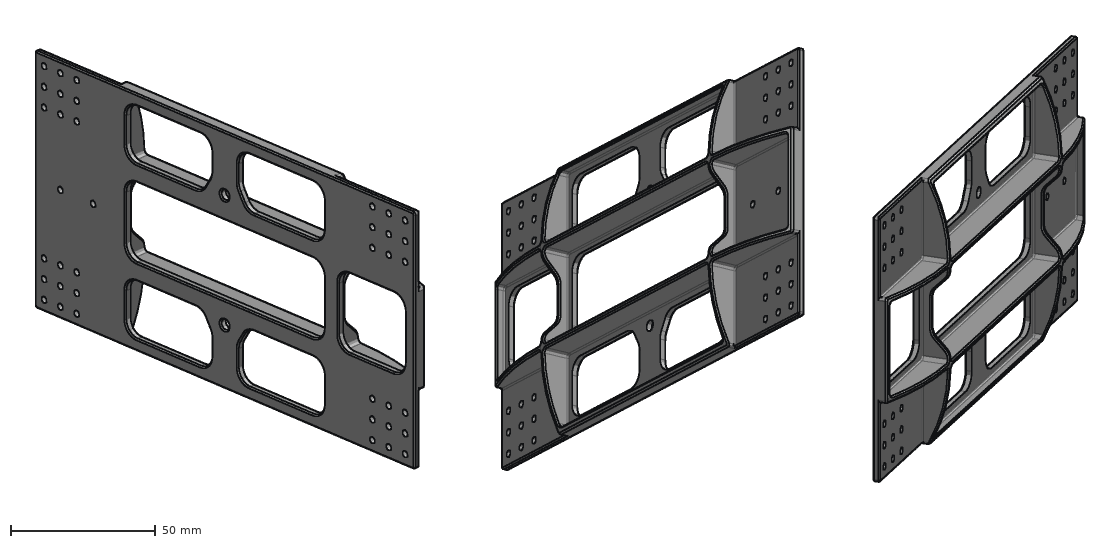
import cadquery as cq
import math

LENGTH = 185.0
DEPTH = 12.8
WIDTH = 99.0
HALF_LENGTH = LENGTH / 2
HALF_WIDTH = WIDTH / 2

PLATE_THICKNESS = 2.5
EDGE_CHAMFER = 0.5
WALL = 2.0
RIB_X = 52.0
RIB_Z = 18.7
RIB_CORNER_RADIUS = 1.5
FOOT_RADIUS = 0.5
END_RADIUS = 1.1
RIM_HEIGHT = 5.2
CROSS_X = RIB_X + WALL / 2
CROSS_Z = RIB_Z + WALL / 2

CHANNEL_HALF_TOP = 14.5
CHANNEL_HEIGHT = 6.1
CHANNEL_RADIUS = 5.0

WINDOW_RADIUS = 5.5
WINDOW_OUTER_X = 48.3
SMALL_WINDOW_INNER_X = 6.5
SMALL_WINDOW_Z = (22.5, 44.8)
SMALL_WINDOW_CUT = (4.6, 7.8)
CENTRE_WINDOW_HALF_Z = 15.4
END_WINDOW_X = (55.3, 87.7)

SMALL_HOLE = 2.4
HOLE_PITCH = 8.0
HOLE_GRID_X = 80.0
HOLE_GRID_Z = 37.0
AXIS_HOLES_X = (-HOLE_GRID_X, -HOLE_GRID_X + 2 * HOLE_PITCH)
LARGE_HOLE = 3.9
LARGE_HOLE_Z = 25.0


def block(x_range, z_range, height, bottom=0.0):
    """Box over the given X and Z ranges, from `bottom` to `height` along +Y."""
    (x0, x1), (z0, z1) = x_range, z_range
    size = (x1 - x0, height - bottom, z1 - z0)
    return cq.Workplane("XY").box(*size, centered=False).translate((x0, bottom, z0))


def arm(half_x, half_z):
    """Upright block of one arm of the cross, standing inside the plate."""
    return block((-half_x, half_x), (-half_z, half_z), DEPTH, EDGE_CHAMFER).edges("|Y").fillet(END_RADIUS)


def cross():
    """Cross of two full-length arms with filleted inner corners."""
    inner_corners = cq.selectors.BoxSelector(
        (-CROSS_X - 1.8, 0, -CROSS_Z - 1.8), (CROSS_X + 1.8, DEPTH, CROSS_Z + 1.8)
    )
    arms = arm(HALF_LENGTH, CROSS_Z).union(arm(CROSS_X, HALF_WIDTH))
    return arms.edges("|Y").edges(inner_corners).fillet(RIB_CORNER_RADIUS)


def recess(x_range, z_range):
    """Space above the plate with filleted upright corners and a filleted foot."""
    space = block(x_range, z_range, DEPTH, PLATE_THICKNESS)
    return space.edges("|Y").fillet(RIB_CORNER_RADIUS).faces("<Y").edges().fillet(FOOT_RADIUS)


def pockets():
    """One recess in the middle of the cross and one in each arm."""
    inner_x = CROSS_X - WALL
    inner_z = CROSS_Z - WALL
    centre = recess((-inner_x, inner_x), (-inner_z, inner_z))
    right = recess((CROSS_X, HALF_LENGTH - WALL), (-inner_z, inner_z))
    upper = recess((-inner_x, inner_x), (CROSS_Z, HALF_WIDTH - WALL))
    return [centre, right, right.mirror("YZ"), upper, upper.mirror("XY")]


def cross_foot():
    """Fillet strip around the outside of the cross, ending at the chamfered plate border."""
    half_x = HALF_LENGTH - EDGE_CHAMFER
    half_z = HALF_WIDTH - EDGE_CHAMFER
    foot = block((-half_x, half_x), (-half_z, half_z), PLATE_THICKNESS + FOOT_RADIUS, EDGE_CHAMFER)
    corner = recess((CROSS_X, LENGTH), (CROSS_Z, WIDTH))
    for space in (corner, corner.mirror("YZ")):
        foot = foot.cut(space).cut(space.mirror("XY"))
    return foot


def arch_midpoint(start, end):
    """Halfway point (position, height) of an arc that leaves the rib tops level and ends at rim height."""
    run = end - start
    drop = DEPTH - RIM_HEIGHT
    radius = (run ** 2 + drop ** 2) / (2 * drop)
    return start + run / 2, DEPTH - radius + math.sqrt(radius ** 2 - (run / 2) ** 2)


def length_arch():
    """Envelope along X: level over the cross, arched down to both ends."""
    mid_x, mid_y = arch_midpoint(CROSS_X, HALF_LENGTH)
    return (
        cq.Workplane("XY")
        .moveTo(-HALF_LENGTH, 0)
        .lineTo(HALF_LENGTH, 0)
        .lineTo(HALF_LENGTH, RIM_HEIGHT)
        .threePointArc((mid_x, mid_y), (CROSS_X, DEPTH))
        .lineTo(-CROSS_X, DEPTH)
        .threePointArc((-mid_x, mid_y), (-HALF_LENGTH, RIM_HEIGHT))
        .close()
        .extrude(HALF_WIDTH, both=True)
    )


def width_arch():
    """Envelope along Z: arched down to both borders, with the rounded channel in the middle."""
    mid_z, mid_y = arch_midpoint(CROSS_Z, HALF_WIDTH)
    channel_half_bottom = CHANNEL_HALF_TOP - (DEPTH - CHANNEL_HEIGHT)
    channel_bends = cq.selectors.BoxSelector(
        (-LENGTH, CHANNEL_HEIGHT - 1.8, -CHANNEL_HALF_TOP - 1.8),
        (LENGTH, DEPTH + 1.8, CHANNEL_HALF_TOP + 1.8),
    )
    return (
        cq.Workplane("YZ")
        .moveTo(0, -HALF_WIDTH)
        .lineTo(0, HALF_WIDTH)
        .lineTo(RIM_HEIGHT, HALF_WIDTH)
        .threePointArc((mid_y, mid_z), (DEPTH, CROSS_Z))
        .lineTo(DEPTH, CHANNEL_HALF_TOP)
        .lineTo(CHANNEL_HEIGHT, channel_half_bottom)
        .lineTo(CHANNEL_HEIGHT, -channel_half_bottom)
        .lineTo(DEPTH, -CHANNEL_HALF_TOP)
        .lineTo(DEPTH, -CROSS_Z)
        .threePointArc((mid_y, -mid_z), (RIM_HEIGHT, -HALF_WIDTH))
        .close()
        .extrude(HALF_LENGTH, both=True)
        .edges("|X")
        .edges(channel_bends)
        .fillet(CHANNEL_RADIUS)
    )


def chamfered_cutter(cutter):
    """Widen a through cutter by a chamfer at the flat face of the plate."""
    section = cutter.faces("<Y").wires().toPending().workplane(origin=(0, 0, 0))
    return cutter.union(section.offset2D(EDGE_CHAMFER).extrude(-EDGE_CHAMFER, taper=45))


def window(points):
    """Rounded through opening with a chamfered front edge; points are (X, Z)."""
    opening = cq.Workplane("XZ").polyline(points).close().extrude(-PLATE_THICKNESS)
    return chamfered_cutter(opening.edges("|Y").fillet(WINDOW_RADIUS))


def rectangle_points(x_range, z_range):
    (x0, x1), (z0, z1) = x_range, z_range
    return [(x0, z0), (x1, z0), (x1, z1), (x0, z1)]


def windows():
    centre = window(
        rectangle_points((-WINDOW_OUTER_X, WINDOW_OUTER_X), (-CENTRE_WINDOW_HALF_Z, CENTRE_WINDOW_HALF_Z))
    )
    end = window(rectangle_points(END_WINDOW_X, (-CENTRE_WINDOW_HALF_Z, CENTRE_WINDOW_HALF_Z)))

    z0, z1 = SMALL_WINDOW_Z
    cut_x, cut_z = SMALL_WINDOW_CUT
    small = window([
        (SMALL_WINDOW_INNER_X + cut_x, z0),
        (WINDOW_OUTER_X, z0),
        (WINDOW_OUTER_X, z1),
        (SMALL_WINDOW_INNER_X, z1),
        (SMALL_WINDOW_INNER_X, z0 + cut_z),
    ])
    small_pair = [small, small.mirror("YZ")]
    return [centre, end] + small_pair + [w.mirror("XY") for w in small_pair]


def small_hole_points():
    steps = (-HOLE_PITCH, 0, HOLE_PITCH)
    grid = [
        (side_x * HOLE_GRID_X + dx, side_z * HOLE_GRID_Z + dz)
        for side_x in (-1, 1)
        for side_z in (-1, 1)
        for dx in steps
        for dz in steps
    ]
    return grid + [(x, 0) for x in AXIS_HOLES_X]


def holes(points, diameter):
    return cq.Workplane("XZ").pushPoints(points).circle(diameter / 2).extrude(-PLATE_THICKNESS)


def chamfer_rib_tops(frame):
    """Chamfer the outline of the top faces; seams shared by two top faces stay smooth."""
    foot_top = PLATE_THICKNESS + FOOT_RADIUS
    top_faces = [f for f in frame.faces().vals() if f.normalAt().y > 0.3 and f.Center().y > foot_top]
    edges = [edge for face in top_faces for edge in face.Edges()]
    outline = [edge for edge in edges if sum(edge.isSame(other) for other in edges) == 1]
    return frame.newObject(outline).chamfer(EDGE_CHAMFER)


def bordered_plate():
    """Flat plate with rounded corners and chamfered borders."""
    plate = block((-HALF_LENGTH, HALF_LENGTH), (-HALF_WIDTH, HALF_WIDTH), PLATE_THICKNESS)
    return plate.edges("|Y").fillet(END_RADIUS).faces("<Y or >Y").edges().chamfer(EDGE_CHAMFER)


ribs = cross()
foot = cross_foot()
for space in pockets():
    ribs = ribs.cut(space)
    foot = foot.cut(space)
ribs = ribs.intersect(length_arch()).intersect(width_arch())
ribs = chamfer_rib_tops(ribs)

body = bordered_plate().union(foot).union(ribs)
for opening in windows():
    body = body.cut(opening)
body = body.cut(holes(small_hole_points(), SMALL_HOLE))
for z in (-LARGE_HOLE_Z, LARGE_HOLE_Z):
    body = body.cut(chamfered_cutter(holes([(0, z)], LARGE_HOLE)))

result = body